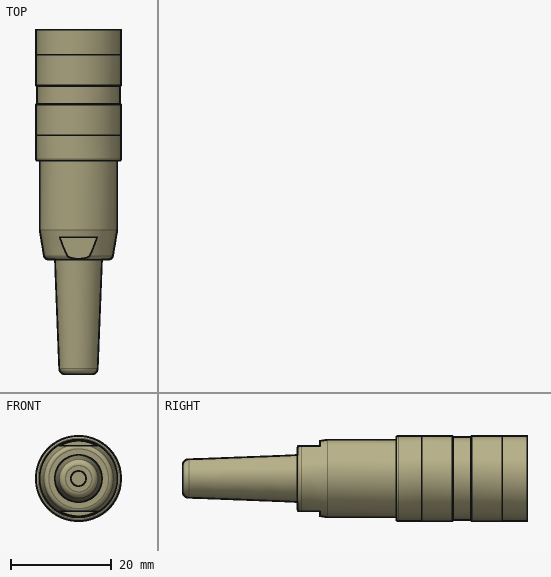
import cadquery as cq

total_length = 68.5

sleeve_dia = 16.9
sleeve_length = 26.1
sleeve_fillet = 0.4
band_dia = 17.0
band_length = 6.0
rear_band_start = 5.0
front_band_end = 20.95
groove_dia = 16.6

collar_dia = 15.5
cone_start = 39.7
cone_end = 45.7
cone_end_dia = 13.5
cone_fillet = 0.95
flat_start = 41.25
flat_distance = 13.0

tail_root_dia = 9.4
tail_tip_dia = 7.6
tail_fillet = 1.2
hole_dia = 3.0
mouth_depth = 0.35
hole_floor_dia = 3.7
hole_depth = 3.4


def frustum(start, end, start_dia, end_dia):
    """Solid of revolution about Y between two distances from the rear face."""
    return (
        cq.Workplane("XY")
        .moveTo(0, -start)
        .lineTo(start_dia / 2, -start)
        .lineTo(end_dia / 2, -end)
        .lineTo(0, -end)
        .close()
        .revolve(360, (0, 0, 0), (0, 1, 0))
    )


def cylinder(start, end, dia):
    return frustum(start, end, dia, dia)


def make_sleeve():
    rear_band_end = rear_band_start + band_length
    front_band_start = front_band_end - band_length
    groove_chamfer = (band_dia - groove_dia) / 2

    sleeve = cylinder(0, sleeve_length, sleeve_dia).faces("<Y").edges().fillet(sleeve_fillet)
    sleeve = sleeve.union(cylinder(rear_band_start, front_band_end, band_dia))

    groove_profile = (
        cq.Workplane("XY")
        .moveTo(band_dia / 2, -rear_band_end)
        .lineTo(groove_dia / 2, -(rear_band_end + groove_chamfer))
        .lineTo(groove_dia / 2, -(front_band_start - groove_chamfer))
        .lineTo(band_dia / 2, -front_band_start)
        .close()
    )
    return sleeve.cut(groove_profile.revolve(360, (0, 0, 0), (0, 1, 0)))


def make_collar():
    cone = frustum(cone_start, cone_end, collar_dia, cone_end_dia)
    cone = cone.faces("<Y").edges().fillet(cone_fillet)

    flat_length = cone_end - flat_start
    cut_height = (collar_dia - flat_distance) / 2
    for side in (1, -1):
        cutter = cq.Workplane("XY").box(collar_dia, flat_length, cut_height)
        cutter = cutter.translate(
            (0, -(flat_start + cone_end) / 2, side * (flat_distance + cut_height) / 2)
        )
        cone = cone.cut(cutter)

    return cylinder(sleeve_length, cone_start, collar_dia).union(cone)


def make_tail():
    tail = frustum(cone_end, total_length, tail_root_dia, tail_tip_dia)
    tail = tail.faces("<Y").edges().fillet(tail_fillet)
    mouth_start = total_length - mouth_depth
    tail = tail.cut(cylinder(mouth_start, total_length, hole_dia))
    return tail.cut(frustum(total_length - hole_depth, mouth_start, hole_floor_dia, hole_dia))


result = make_sleeve().union(make_collar()).union(make_tail())